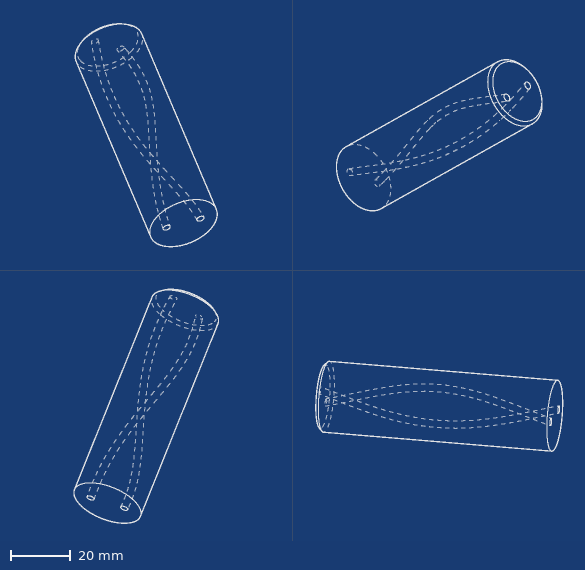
import cadquery as cq
import math

length = 80.0
diameter = 24.0
front_chamfer = 1.2

channel_diameter = 2.5
channel_spacing = 12.0
helix_angle = 30.0

pitch = math.pi * diameter / math.tan(math.radians(helix_angle))
twist = 360 * length / pitch


def make_bar():
    bar = cq.Workplane("YZ").circle(diameter / 2).extrude(length)
    return bar.faces("<X").chamfer(front_chamfer)


def make_channels():
    """Opposed round channels that twist together about the bar axis."""
    offset = channel_spacing / 2
    channels = (
        cq.Workplane("YZ")
        .pushPoints([(offset, 0), (-offset, 0)])
        .circle(channel_diameter / 2)
        .twistExtrude(length, twist)
    )
    return channels.rotate((0, 0, 0), (1, 0, 0), -twist)


result = make_bar().cut(make_channels())